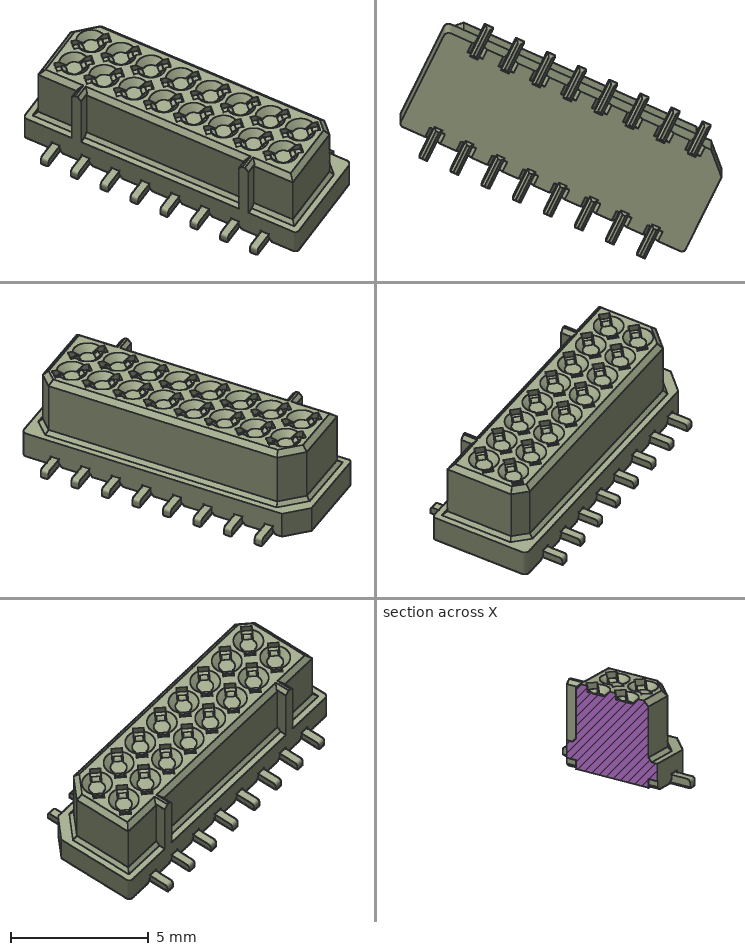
import cadquery as cq

columns = 8
pitch = 1.25
row_y = pitch / 2
column_xs = [(i - (columns - 1) / 2) * pitch for i in range(columns)]

base_length = 11.45
base_width = 4.0
base_height = 1.05
base_left_chamfer = 0.8
base_front_radius = 0.15
base_back_radius = 0.2

body_inset = 0.4
body_length = base_length - 2 * body_inset
body_width = base_width - 2 * body_inset
body_top = 3.4
body_left_chamfer = 0.8
body_right_chamfer = 0.5
body_top_chamfer = 0.2
foot_flare = 0.15

rib_x = 3.5
rib_width = 0.4
rib_chamfer = 0.15
rib_overlap = 0.6

socket_top_diameter = 1.1
socket_floor_diameter = 0.6
socket_depth = 0.25
socket_floor = body_top - socket_depth
slot_length = 1.4
slot_width = 0.4
slot_angle = 45

tip_inner_radius = 0.28
tip_outer_radius = 0.45
tip_height = 0.1
tip_bulge = 0.02
tip_width = 0.3
tip_root = 0.1

tail_reach = 2.8
tail_root = 1.5
tail_width = 0.32
tail_top = 0.3
tail_drop = 0.1
tail_top_round = 0.13

notch_width = 0.35
notch_height = 0.35
notch_flare = 0.13
notch_depth = 0.4


def chamfered_outline(length, width, left_chamfer, right_chamfer):
    """Rectangle with its two back corners cut at 45 degrees; 0 leaves the right corner square."""
    x, y = length / 2, width / 2
    right_corner = [(x, y)]
    if right_chamfer > 0:
        right_corner = [(x, y - right_chamfer), (x - right_chamfer, y)]
    return [(-x, -y), (x, -y)] + right_corner + [(-x + left_chamfer, y), (-x, y - left_chamfer)]


def make_base():
    outline = chamfered_outline(base_length, base_width, base_left_chamfer, 0)
    base = cq.Workplane("XY").polyline(outline).close().extrude(base_height)
    base = base.edges("|Z and <Y").fillet(base_front_radius)
    return base.edges("|Z and >(1,1,0)").fillet(base_back_radius)


def make_body():
    outline = chamfered_outline(body_length, body_width, body_left_chamfer, body_right_chamfer)
    body = cq.Workplane("XY").polyline(outline).close().extrude(body_top)
    body = body.faces(">Z").chamfer(body_top_chamfer)
    corner_growth = foot_flare * (2 - 2 ** 0.5)
    foot_outline = chamfered_outline(
        body_length + 2 * foot_flare,
        body_width + 2 * foot_flare,
        body_left_chamfer + corner_growth,
        body_right_chamfer + corner_growth,
    )
    foot = (
        cq.Workplane("XY", origin=(0, 0, base_height))
        .polyline(foot_outline)
        .close()
        .extrude(foot_flare, taper=45)
    )
    return body.union(foot)


def make_rib(x):
    rib = cq.Workplane("XY").box(rib_width, rib_overlap, body_top, centered=(True, False, False))
    rib = rib.faces(">Z").edges("|Y").chamfer(rib_chamfer)
    return rib.translate((x, -base_width / 2, 0))


def make_socket_cutter():
    """Cone and diagonal slot of one socket, centred on the Z axis."""
    floor_plane = cq.Workplane("XY", origin=(0, 0, socket_floor))
    cone = (
        floor_plane.circle(socket_floor_diameter / 2)
        .workplane(offset=socket_depth)
        .circle(socket_top_diameter / 2)
        .loft()
    )
    slot = floor_plane.rect(slot_length, slot_width).extrude(socket_depth)
    return cone.union(slot.rotate((0, 0, 0), (0, 0, 1), slot_angle))


def make_contact_tips():
    """Two facing tips of one contact, rounded towards the socket axis."""
    tip = (
        cq.Workplane("XZ")
        .moveTo(tip_inner_radius, socket_floor - tip_root)
        .lineTo(tip_inner_radius, socket_floor)
        .sagittaArc((tip_outer_radius, socket_floor + tip_height), tip_bulge)
        .lineTo(tip_outer_radius, socket_floor - tip_root)
        .close()
        .extrude(tip_width / 2, both=True)
    )
    near = tip.rotate((0, 0, 0), (0, 0, 1), slot_angle)
    far = tip.rotate((0, 0, 0), (0, 0, 1), slot_angle + 180)
    return near.union(far)


def make_tail():
    """Solder tail along +Y: its rounded side profile cut to a section with chamfered lower edges."""
    side_profile = (
        cq.Workplane("YZ")
        .moveTo(tail_root, tail_top)
        .lineTo(tail_reach - tail_top_round, tail_top)
        .radiusArc((tail_reach, tail_top - tail_top_round), tail_top_round)
        .lineTo(tail_reach, 0)
        .radiusArc((tail_reach - tail_drop, -tail_drop), tail_drop)
        .lineTo(tail_root + tail_drop, -tail_drop)
        .lineTo(tail_root, 0)
        .close()
        .extrude(tail_width / 2, both=True)
    )
    half = tail_width / 2
    half_bottom = half - tail_drop
    section = [
        (-half, tail_top),
        (-half, 0),
        (-half_bottom, -tail_drop),
        (half_bottom, -tail_drop),
        (half, 0),
        (half, tail_top),
    ]
    return side_profile.intersect(cq.Workplane("XZ").polyline(section).close().extrude(-tail_reach))


def make_notch():
    """House-shaped clearance around a +Y tail, flared at the bottom."""
    half = notch_width / 2
    outline = [
        (-half - notch_flare, 0),
        (-half, notch_flare),
        (-half, notch_height),
        (half, notch_height),
        (half, notch_flare),
        (half + notch_flare, 0),
    ]
    return (
        cq.Workplane("XZ", origin=(0, base_width / 2, 0)).polyline(outline).close().extrude(notch_depth)
    )


def on_both_sides(shape):
    """The shape and its copy turned half a turn about Z."""
    return [shape, shape.rotate((0, 0, 0), (0, 0, 1), 180)]


housing = make_base().union(make_body())
for side in (-1, 1):
    housing = housing.union(make_rib(side * rib_x))

socket = make_socket_cutter()
tips = make_contact_tips()
notches = on_both_sides(make_notch())
tails = on_both_sides(make_tail())

for x in column_xs:
    for y in (-row_y, row_y):
        housing = housing.cut(socket.translate((x, y, 0)))
        housing = housing.union(tips.translate((x, y, 0)))
    for notch in notches:
        housing = housing.cut(notch.translate((x, 0, 0)))
    for tail in tails:
        housing = housing.union(tail.translate((x, 0, 0)))

result = housing